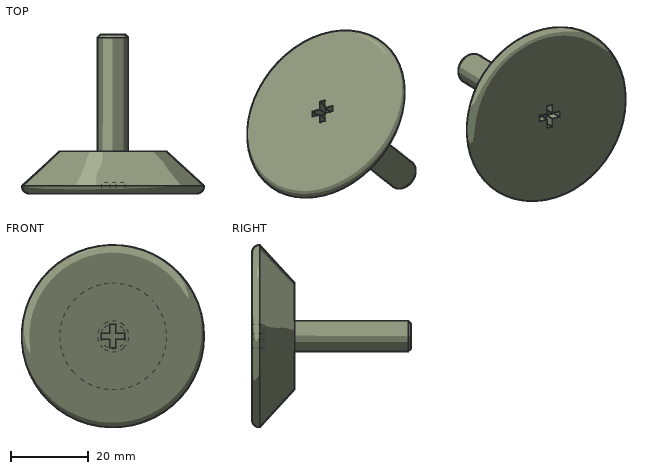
import cadquery as cq

foot_radius = 23.5
rim_round = 2.0
foot_height = 11.0
shoulder_radius = 13.72

stem_radius = 4.0
total_length = 41.0
tip_chamfer = 0.8

cross_span = 6.0
cross_width = 1.5
cross_depth = 3.0


def make_body():
    """Revolve the half profile of foot and stem around the Y axis."""
    arc_bend = rim_round * 0.5 ** 0.5
    face_radius = foot_radius - rim_round
    profile = (
        cq.Workplane("XY")
        .lineTo(face_radius, 0)
        .threePointArc((face_radius + arc_bend, rim_round - arc_bend), (foot_radius, rim_round))
        .lineTo(shoulder_radius, foot_height)
        .lineTo(stem_radius, foot_height)
        .lineTo(stem_radius, total_length - tip_chamfer)
        .lineTo(stem_radius - tip_chamfer, total_length)
        .lineTo(0, total_length)
        .close()
    )
    return profile.revolve(360, (0, 0, 0), (0, 1, 0))


def make_cross():
    """Two crossed bars reaching from the face into the foot."""
    from_face = (True, False, True)
    bar = cq.Workplane("XY").box(cross_span, cross_depth, cross_width, centered=from_face)
    upright = cq.Workplane("XY").box(cross_width, cross_depth, cross_span, centered=from_face)
    return bar.union(upright)


result = make_body().cut(make_cross())